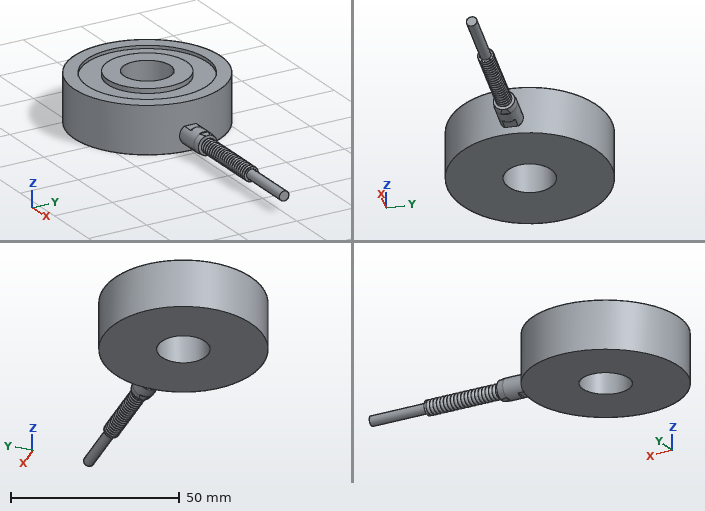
import cadquery as cq

body_diameter = 50.3
body_radius = body_diameter / 2
body_height = 16.0
overall_height = 16.5
overall_length = 105.2
recess_diameter = 41.1
recess_floor = 14.9
boss_diameter = 27.2
bore_diameter = 15.9

cable_axis_height = 5.4
outlet_embedding = 1.6
outlet_root = body_radius - outlet_embedding
wrench_flat_end = 28.8
cone_start = 33.3
gland_end = 35.5
cable_end = overall_length - body_radius

gland_diameter = 7.0
gland_tip_diameter = 6.5
wrench_flat_size = 5.8
tip_flat_size = 6.4
tip_flat_start = 33.0

sleeve_length = 25.4
sleeve_diameter = 4.9
groove_diameter = 3.9
full_ring_count = 21
cut_ring_length = 0.39
corrugation_pitch = (sleeve_length - cut_ring_length) / full_ring_count
cable_diameter = 3.3


def make_ring():
    """Ring with a recessed top, a raised centre boss and a through bore."""
    bore_radius = bore_diameter / 2
    boss_radius = boss_diameter / 2
    recess_radius = recess_diameter / 2
    return (
        cq.Workplane("XZ")
        .moveTo(bore_radius, 0)
        .lineTo(body_radius, 0)
        .lineTo(body_radius, body_height)
        .lineTo(recess_radius, body_height)
        .lineTo(recess_radius, recess_floor)
        .lineTo(boss_radius, recess_floor)
        .lineTo(boss_radius, overall_height)
        .lineTo(bore_radius, overall_height)
        .close()
        .revolve(360, (0, 0, 0), (0, 1, 0))
    )


def cable_cylinder(diameter, start, end):
    """Cylinder on the cable axis between two X positions."""
    plane = cq.Workplane("YZ", origin=(start, 0, cable_axis_height))
    return plane.circle(diameter / 2).extrude(end - start)


def slab(start, end, height):
    """Block of the given height, wider than the gland and centred on the cable axis."""
    width = 2 * gland_diameter
    block = cq.Workplane("XY").box(end - start, width, height, centered=(False, True, True))
    return block.translate((start, 0, cable_axis_height))


def make_gland():
    """Gland with wrench flats beside the ring and two shorter flats on its conical tip."""
    root = cable_cylinder(gland_diameter, outlet_root, wrench_flat_end)
    root = root.intersect(slab(outlet_root, wrench_flat_end, wrench_flat_size))
    barrel = cable_cylinder(gland_diameter, wrench_flat_end, cone_start)
    tip = (
        cq.Workplane("YZ", origin=(cone_start, 0, cable_axis_height))
        .circle(gland_diameter / 2)
        .workplane(offset=gland_end - cone_start)
        .circle(gland_tip_diameter / 2)
        .loft()
    )
    head = barrel.union(tip)
    tip_flats = slab(tip_flat_start, gland_end, gland_diameter)
    tip_flats = tip_flats.cut(slab(tip_flat_start, gland_end, tip_flat_size))
    return root.union(head.cut(tip_flats))


def make_sleeve():
    """Strain relief of touching rounded rings; the last ring is cut short by the end face."""
    crest = sleeve_diameter / 2
    root = groove_diameter / 2
    ring_count = full_ring_count + 1
    profile = cq.Workplane("XZ").moveTo(gland_end, 0).lineTo(gland_end, root)
    for index in range(ring_count):
        start = gland_end + index * corrugation_pitch
        profile = profile.threePointArc(
            (start + corrugation_pitch / 2, crest), (start + corrugation_pitch, root)
        )
    profile = profile.lineTo(gland_end + ring_count * corrugation_pitch, 0).close()
    rings = profile.revolve(360, (0, 0, 0), (1, 0, 0)).translate((0, 0, cable_axis_height))
    return rings.intersect(cable_cylinder(gland_diameter, gland_end, gland_end + sleeve_length))


result = (
    make_ring()
    .union(make_gland())
    .union(make_sleeve())
    .union(cable_cylinder(cable_diameter, gland_end, cable_end))
)